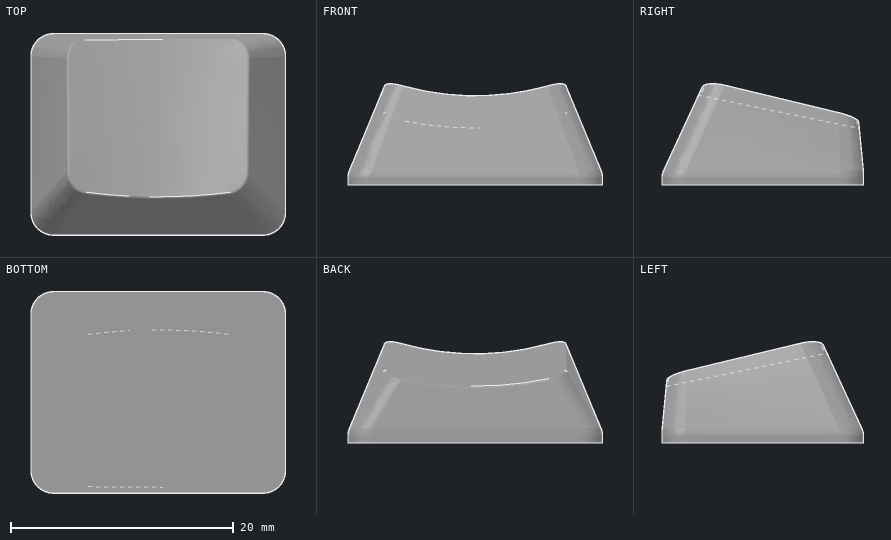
import cadquery as cq
import math

base_length = 22.92
base_width = 18.15
base_corner_radius = 2.06
skirt_height = 0.66
bend_height = 0.66

side_inset = 0.14
front_inset = 0.15
back_inset = 0.02

rim_length = 16.05
rim_front_y = -5.05
rim_back_y = 8.57
rim_height_at_origin = 8.48
rim_corner_radius = 1.83
tilt_angle = 13.7

dish_edge_depth = 0.28
dish_front_depth = 1.75
dish_back_depth = 1.24
dish_overrun = 2.3
rim_blend_radius = 0.23

tilt = math.radians(tilt_angle)
rim_width = (rim_back_y - rim_front_y) / math.cos(tilt)
rim_center_y = (rim_front_y + rim_back_y) / 2
rim_center_z = rim_height_at_origin - rim_center_y * math.tan(tilt)
rim_plane = cq.Plane(
    origin=(0, rim_center_y, rim_center_z),
    xDir=(1, 0, 0),
    normal=(0, math.sin(tilt), math.cos(tilt)),
)


def rounded_rectangle(plane, length, width, radius):
    """Closed wire of a rounded rectangle centered on a plane."""
    outline = cq.Workplane("XY").rect(length, width).extrude(0.23).edges("|Z").fillet(radius)
    return outline.faces("<Z").wires().val().moved(plane.location)


def bend_section(fraction):
    """Level outline at a fraction of the bend height; the inset grows with its square."""
    share = fraction**2
    length = base_length - 2 * side_inset * share
    width = base_width - (front_inset + back_inset) * share
    center_y = (front_inset - back_inset) * share / 2
    plane = cq.Plane(origin=(0, center_y, skirt_height + bend_height * fraction))
    return rounded_rectangle(plane, length, width, base_corner_radius)


def make_skirt():
    """Upright band around the foot of the cap."""
    outline = rounded_rectangle(cq.Plane.XY(), base_length, base_width, base_corner_radius)
    return cq.Workplane(cq.Solid.extrudeLinear(outline, [], cq.Vector(0, 0, skirt_height)))


def make_bend():
    """Curved transition from the upright skirt to the sloping walls."""
    sections = [bend_section(fraction) for fraction in (0, 0.5, 1)]
    return cq.Workplane(cq.Solid.makeLoft(sections))


def make_walls():
    """Straight-ruled walls from the top of the bend to the tilted rim."""
    rim = rounded_rectangle(rim_plane, rim_length, rim_width, rim_corner_radius)
    return cq.Workplane(cq.Solid.makeLoft([bend_section(1), rim], True))


def dish_section(along_rim, middle_depth):
    """Wire above a circular arc, set square to the rim plane at a distance along it."""
    half_chord = rim_length / 2
    sag = middle_depth - dish_edge_depth
    radius = (half_chord**2 + sag**2) / (2 * sag)
    half_width = half_chord + dish_overrun
    end_depth = middle_depth - radius + math.sqrt(radius**2 - half_width**2)
    plane = cq.Plane(
        origin=rim_plane.toWorldCoords((0, along_rim, 0)),
        xDir=(1, 0, 0),
        normal=-rim_plane.yDir,
    )
    section = (
        cq.Workplane(plane)
        .moveTo(-half_width, -end_depth)
        .threePointArc((0, -middle_depth), (half_width, -end_depth))
        .lineTo(half_width, dish_overrun)
        .lineTo(-half_width, dish_overrun)
        .close()
    )
    return section.val()


def make_dish_cutter():
    """Trough ruled from the deeper front arc to the shallower back arc."""
    half_width = rim_width / 2
    overrun_change = (dish_front_depth - dish_back_depth) * dish_overrun / rim_width
    front = dish_section(-half_width - dish_overrun, dish_front_depth + overrun_change)
    back = dish_section(half_width + dish_overrun, dish_back_depth - overrun_change)
    return cq.Workplane(cq.Solid.makeLoft([front, back], True))


body = make_skirt().union(make_bend()).union(make_walls()).cut(make_dish_cutter())

dish_middle_depth = (dish_front_depth + dish_back_depth) / 2
dish_bottom = rim_plane.toWorldCoords((0, 0, -dish_middle_depth))
dish_face = body.faces(cq.selectors.NearestToPointSelector(dish_bottom))
result = dish_face.edges().fillet(rim_blend_radius)